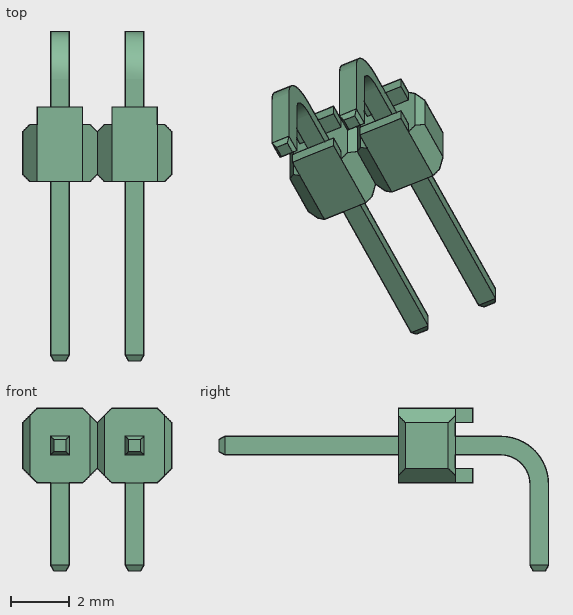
import cadquery as cq


unit_count = 2
total_width = 5.08
pitch = total_width / unit_count
total_length = 11.22
total_height = 5.54

tab_length = 0.6
block_depth = pitch - tab_length
long_edge_chamfer = 0.49
side_edge_chamfer = 0.25
tab_width = pitch - 2 * long_edge_chamfer
tab_height = long_edge_chamfer

pin_size = 0.64
bend_inner_radius = 1.0
bend_outer_radius = bend_inner_radius + pin_size
tip_length = 0.2
tip_inset = 0.11
front_leg_length = 6.1
pin_front = -front_leg_length
pin_back = pin_front + total_length
bend_start = pin_back - bend_outer_radius
pin_top = pin_size / 2
bend_bottom = pin_top - bend_outer_radius
pin_bottom = pitch / 2 - total_height


def make_block():
    """Octagonal block whose side faces are bevelled on all four edges."""
    long_bevels = (
        cq.Workplane("XY")
        .box(pitch, block_depth, pitch, centered=(True, False, True))
        .edges("|Y")
        .chamfer(long_edge_chamfer)
    )
    upright_bevels = (
        cq.Workplane("XY")
        .box(pitch, block_depth, pitch, centered=(True, False, True))
        .edges("|Z")
        .chamfer(side_edge_chamfer)
    )
    return long_bevels.intersect(upright_bevels)


def make_tabs():
    """Standoff tabs along the top and bottom of the block's back face."""
    tab_offset = (pitch - tab_height) / 2
    return (
        cq.Workplane("XZ", origin=(0, block_depth, 0))
        .pushPoints([(0, tab_offset), (0, -tab_offset)])
        .rect(tab_width, tab_height)
        .extrude(-tab_length)
    )


def make_tip(plane):
    """Tapered pin end growing along the normal of the given plane."""
    end_size = pin_size - 2 * tip_inset
    return (
        cq.Workplane(plane)
        .rect(pin_size, pin_size)
        .workplane(offset=tip_length)
        .rect(end_size, end_size)
        .loft(ruled=True)
    )


def make_pin():
    """Square pin with a straight front leg, a quarter-turn bend and a lower leg."""
    lower_leg_y = pin_back - pin_size / 2
    front_leg_end = pin_front + tip_length
    lower_leg_end = pin_bottom + tip_length

    front_leg = (
        cq.Workplane("XZ", origin=(0, front_leg_end, 0))
        .rect(pin_size, pin_size)
        .extrude(-(bend_start - front_leg_end))
    )
    bend = (
        cq.Workplane("YZ", origin=(-pin_size / 2, 0, 0))
        .moveTo(bend_start, pin_top)
        .radiusArc((pin_back, bend_bottom), bend_outer_radius)
        .lineTo(pin_back - pin_size, bend_bottom)
        .radiusArc((bend_start, -pin_top), -bend_inner_radius)
        .close()
        .extrude(pin_size)
    )
    lower_leg = (
        cq.Workplane("XY", origin=(0, lower_leg_y, lower_leg_end))
        .rect(pin_size, pin_size)
        .extrude(bend_bottom - lower_leg_end)
    )
    front_tip = make_tip(cq.Plane((0, front_leg_end, 0), xDir=(1, 0, 0), normal=(0, -1, 0)))
    lower_tip = make_tip(cq.Plane((0, lower_leg_y, lower_leg_end), xDir=(1, 0, 0), normal=(0, 0, -1)))
    return front_leg.union(bend).union(lower_leg).union(front_tip).union(lower_tip)


def make_header_unit(center_x):
    """One housing with its pin, as a single solid."""
    unit = make_block().union(make_tabs()).union(make_pin())
    return unit.translate((center_x, 0, 0))


header_units = []
for index in range(unit_count):
    unit_x = (index - (unit_count - 1) / 2) * pitch
    header_units.append(make_header_unit(unit_x).solids().val())

result = cq.Compound.makeCompound(header_units)